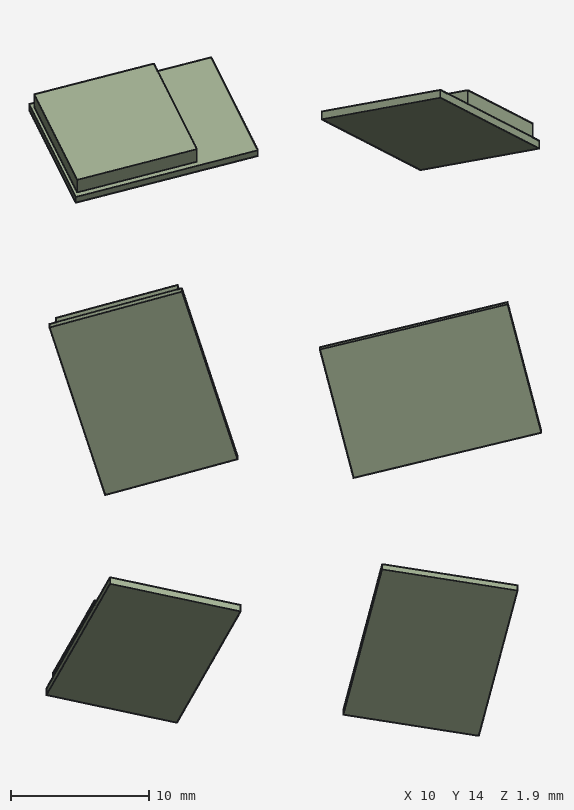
import cadquery as cq

board_width = 10.0
board_length = 14.0
board_thickness = 0.6

overall_height = 1.9
can_side = 9.2
can_height = overall_height - board_thickness
can_front_margin = 0.25

can_center_y = -board_length / 2 + can_front_margin + can_side / 2

board = cq.Workplane("XY").box(
    board_width, board_length, board_thickness, centered=(True, True, False)
)

result = (
    board.faces(">Z")
    .workplane(origin=(0, 0, board_thickness))
    .center(0, can_center_y)
    .rect(can_side, can_side)
    .extrude(can_height)
)